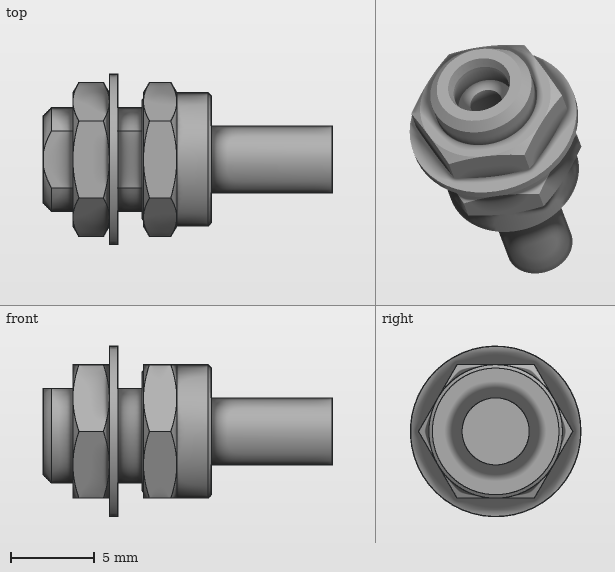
import cadquery as cq
import math

HEX_SIDES = 6
ACROSS_FLATS = 8.0
HEX_CHAMFER_ANGLE = 30
INSCRIBED_RADIUS = ACROSS_FLATS / 2
CORNER_RADIUS = INSCRIBED_RADIUS / math.cos(math.pi / HEX_SIDES)
HEX_CHAMFER_LENGTH = (CORNER_RADIUS - INSCRIBED_RADIUS) * math.tan(math.radians(HEX_CHAMFER_ANGLE))

BARREL_RADIUS = 3.1
BARREL_CHAMFER = 0.5
BARREL_FLAT_HEIGHT = 2.58
HEX_START = 6.0
HEX_LENGTH = 1.99
COLLAR_LENGTH = 2.08
COLLAR_CHAMFER = 0.2
COLLAR_START = HEX_START + HEX_LENGTH
COLLAR_END = COLLAR_START + COLLAR_LENGTH

MOUTH_RADIUS = 1.9
SOCKET_RADIUS = 1.7
MOUTH_DEPTH = 0.6
SOCKET_DEPTH = 2.0
CORE_HOLE_RADIUS = 0.97

NUT_START = 1.78
NUT_LENGTH = 2.18
NUT_END = NUT_START + NUT_LENGTH
NUT_BORE_RADIUS = 2.85
COUNTERSINK_RADIUS = 3.17
COUNTERSINK_DEPTH = COUNTERSINK_RADIUS - NUT_BORE_RADIUS

WASHER_RADIUS = 5.1
WASHER_THICKNESS = 0.5

RING_SECTION_RADIUS = 0.2
RING_PROTRUSION = 0.1
RING_CENTRE_RADIUS = 3.46
RING_CENTRE_X = HEX_START - RING_PROTRUSION + RING_SECTION_RADIUS

TUBE_RADIUS = 2.0
TOTAL_LENGTH = 17.3


def cylinder(start, length, radius):
    return cq.Workplane("YZ", origin=(start, 0, 0)).circle(radius).extrude(length)


def turned(profile):
    """Revolve an outline of (x, radius) points about the X axis."""
    return cq.Workplane("XY").polyline(profile).close().revolve(360, (0, 0, 0), (1, 0, 0))


def chamfered_hexagon(start, length):
    """Hexagonal prism with flats facing up and down and its corners turned off at both ends."""
    end = start + length
    prism = cq.Workplane("YZ", origin=(start, 0, 0)).polygon(HEX_SIDES, 2 * CORNER_RADIUS).extrude(length)
    envelope = turned([
        (start, 0),
        (start, INSCRIBED_RADIUS),
        (start + HEX_CHAMFER_LENGTH, CORNER_RADIUS),
        (end - HEX_CHAMFER_LENGTH, CORNER_RADIUS),
        (end, INSCRIBED_RADIUS),
        (end, 0),
    ])
    return prism.intersect(envelope)


def make_barrel():
    """Chamfered round barrel with a flat along its top, ending at the hexagon."""
    barrel = cylinder(0, HEX_START, BARREL_RADIUS).faces("<X").chamfer(BARREL_CHAMFER)
    above_flat = cq.Workplane("XY", origin=(0, 0, BARREL_FLAT_HEIGHT)).box(
        HEX_START, 2 * BARREL_RADIUS, BARREL_RADIUS, centered=(False, True, False)
    )
    return barrel.cut(above_flat)


def make_sealing_ring():
    ring = cq.Workplane("XY").center(RING_CENTRE_X, RING_CENTRE_RADIUS).circle(RING_SECTION_RADIUS)
    return ring.revolve(360, (0, -RING_CENTRE_RADIUS, 0), (1, -RING_CENTRE_RADIUS, 0))


def make_housing(barrel, sealing_ring):
    collar = cylinder(COLLAR_START, COLLAR_LENGTH, INSCRIBED_RADIUS).faces(">X").chamfer(COLLAR_CHAMFER)
    bore = turned([
        (0, 0),
        (0, MOUTH_RADIUS),
        (MOUTH_DEPTH, SOCKET_RADIUS),
        (SOCKET_DEPTH, SOCKET_RADIUS),
        (SOCKET_DEPTH, CORE_HOLE_RADIUS),
        (COLLAR_END, CORE_HOLE_RADIUS),
        (COLLAR_END, 0),
    ])
    body = barrel.union(chamfered_hexagon(HEX_START, HEX_LENGTH)).union(collar)
    return body.cut(bore).cut(sealing_ring)


def make_nut(barrel):
    """Hexagon nut whose countersunk bore fits round the flatted barrel."""
    bore = turned([
        (NUT_START, 0),
        (NUT_START, COUNTERSINK_RADIUS),
        (NUT_START + COUNTERSINK_DEPTH, NUT_BORE_RADIUS),
        (NUT_END - COUNTERSINK_DEPTH, NUT_BORE_RADIUS),
        (NUT_END, COUNTERSINK_RADIUS),
        (NUT_END, 0),
    ])
    return chamfered_hexagon(NUT_START, NUT_LENGTH).cut(bore).cut(barrel)


def make_washer():
    disc = cylinder(NUT_END, WASHER_THICKNESS, WASHER_RADIUS)
    return disc.cut(cylinder(NUT_END, WASHER_THICKNESS, BARREL_RADIUS))


def make_tube():
    return cylinder(COLLAR_END, TOTAL_LENGTH - COLLAR_END, TUBE_RADIUS)


barrel_shape = make_barrel()
sealing_ring = make_sealing_ring()
housing = make_housing(barrel_shape, sealing_ring)
nut = make_nut(barrel_shape)
washer = make_washer()
tube = make_tube()

result = cq.Compound.makeCompound([
    housing.val(),
    nut.val(),
    washer.val(),
    sealing_ring.val(),
    tube.val(),
])